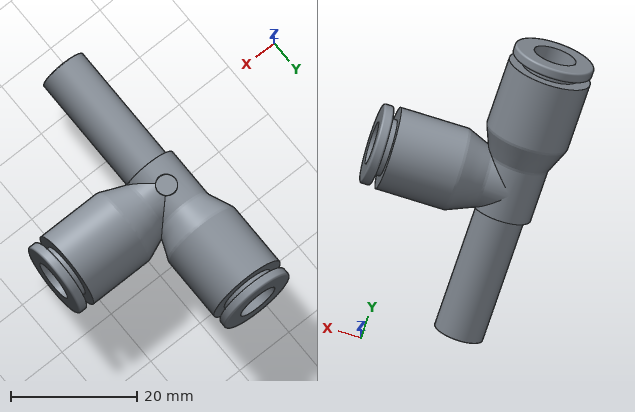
import cadquery as cq

overall_length = 49.0
arm_length = 23.0

body_radius = 6.75
hub_radius = 4.95
cone_start = 4.4
cone_end = 8.8
cone_blend = 1.2
body_end = 20.3
collar_neck_radius = 4.65
collar_radius = 6.55
collar_thickness = 1.6
collar_edge_fillet = 0.35

hub_end = 4.5
stem_length = overall_length - arm_length
stem_radius = 4.0
bore_radius = 3.5

recess_radius = 1.75
recess_depth = 0.4


def cylinder(radius, start, end):
    """Solid cylinder around Z from start to end."""
    return cq.Workplane("XY").workplane(offset=start).circle(radius).extrude(end - start)


def socket_arm():
    """Hub, flared socket body and release collar, built along +Z from the origin."""
    body = (
        cq.Workplane("XZ")
        .moveTo(0, 0)
        .lineTo(hub_radius, 0)
        .lineTo(hub_radius, cone_start)
        .lineTo(body_radius, cone_end)
        .lineTo(body_radius, body_end)
        .lineTo(0, body_end)
        .close()
        .revolve(360, (0, 0, 0), (0, 1, 0))
    )
    cone_edges = cq.selectors.BoxSelector(
        (-body_radius, -body_radius, cone_start - cone_blend),
        (body_radius, body_radius, cone_end + cone_blend),
        boundingbox=False,
    )
    body = body.edges("%CIRCLE").edges(cone_edges).fillet(cone_blend)
    collar_start = arm_length - collar_thickness
    neck = cylinder(collar_neck_radius, body_end, collar_start)
    collar = cylinder(collar_radius, collar_start, arm_length)
    collar = collar.edges("%CIRCLE").fillet(collar_edge_fillet)
    return body.union(neck).union(collar)


def along_y(shape):
    """Turn a shape built along +Z to point along +Y."""
    return shape.rotate((0, 0, 0), (1, 0, 0), -90)


def along_x(shape):
    """Turn a shape built along +Z to point along +X."""
    return shape.rotate((0, 0, 0), (0, 1, 0), 90)


result = along_y(socket_arm())
result = result.union(along_x(socket_arm()))
result = result.union(along_y(cylinder(hub_radius, -hub_end, 0)))
result = result.union(along_y(cylinder(stem_radius, -stem_length, 0)))

result = result.cut(along_y(cylinder(bore_radius, -stem_length, arm_length)))
result = result.cut(along_x(cylinder(bore_radius, 0, arm_length)))

result = result.cut(cylinder(recess_radius, hub_radius - recess_depth, body_radius))